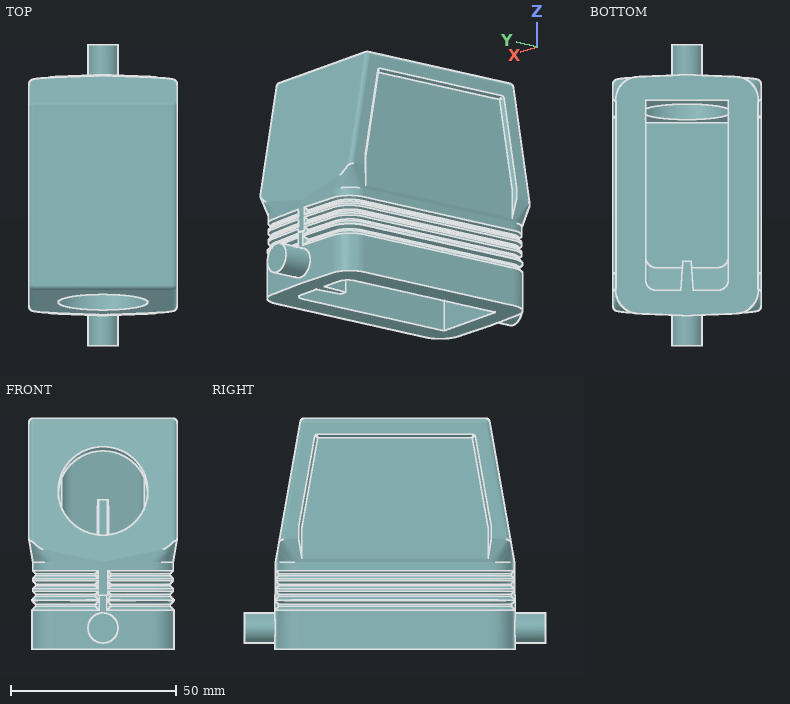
import cadquery as cq
import math

base_width = 43.1
base_length = 72.95
base_corner = 7.0
end_bow = 0.8
base_top = 16.4

collar_step = 0.3
collar_top = 26.4

overall_height = 70.0
shell_width = 45.0
shell_edge_radius = 1.5
flare_height = 7.1
end_draft = 10.0

flank_angle = 45.0

groove_count = 4
groove_pitch = 3.1
first_groove_height = 13.3
groove_floor = 0.55
groove_depth = 1.2
groove_overcut = 0.1
rib_width = 2.2

peg_diameter = 9.1
peg_height = 6.5
peg_span = 91.2

panel_depth = 1.0
panel_floor_bottom = 26.8
panel_floor_top = 64.1
panel_knee_height = 36.9
panel_half_length = 28.2

entry_diameter = 27.2
entry_height = 48.0
entry_depth = 8.7
end_wall = 7.3
cavity_width = 25.1
cavity_corner = 3.2
cavity_top = 65.5
key_face_width = 2.55
key_root_width = 3.3
key_projection = 5.5
key_top = 45.3

draft_slope = math.tan(math.radians(end_draft))
collar_width = base_width - 2 * collar_step
collar_length = base_length - 2 * collar_step
collar_corner = base_corner - collar_step
flare_top = collar_top + flare_height


def end_half_length(height):
    """Distance from the middle plane to the drafted end face at a given height."""
    return collar_length / 2 - (height - collar_top) * draft_slope


def waist_outline(width, length, radius):
    """Rounded rectangle whose ends are two flats meeting in a shallow ridge on the middle plane."""
    peak = length / 2
    shoulder = peak - end_bow
    points = [
        (0, peak),
        (width / 2, shoulder),
        (width / 2, -shoulder),
        (0, -peak),
        (-width / 2, -shoulder),
        (-width / 2, shoulder),
        (0, peak),
    ]
    return cq.Sketch().polygon(points).vertices("not(<Y or >Y)").fillet(radius).reset()


def waist_block(width, length, radius, bottom, height, taper=0):
    outline = waist_outline(width, length, radius)
    return cq.Workplane("XY").workplane(offset=bottom).placeSketch(outline).extrude(height, taper=taper)


def upper_shell():
    low_end = end_half_length(collar_top)
    high_end = end_half_length(overall_height)
    profile = [
        (-low_end, collar_top),
        (low_end, collar_top),
        (high_end, overall_height),
        (-high_end, overall_height),
    ]
    shell = cq.Workplane("YZ").polyline(profile).close().extrude(shell_width / 2, both=True)
    shell = shell.edges("not(#Z)").fillet(shell_edge_radius)
    shell = shell.faces(">Z").edges().fillet(shell_edge_radius)

    low = waist_outline(collar_width, collar_length, collar_corner)
    high = waist_outline(shell_width, collar_length, shell_edge_radius)
    high = high.moved(cq.Location(cq.Vector(0, 0, flare_height)))
    foot = cq.Workplane("XY").workplane(offset=collar_top).placeSketch(low, high).loft(ruled=True)
    above = cq.Workplane("XY").workplane(offset=flare_top)
    above = above.rect(shell_width, base_length).extrude(overall_height - flare_top)
    return shell.intersect(foot.union(above))


def side_panel():
    """Cutter for the +X panel: flat floor with walls opening outwards at 45 degrees."""
    top_half_length = panel_half_length - (panel_floor_top - panel_knee_height) * draft_slope
    outline = [
        (-panel_half_length, panel_floor_bottom),
        (panel_half_length, panel_floor_bottom),
        (panel_half_length, panel_knee_height),
        (top_half_length, panel_floor_top),
        (-top_half_length, panel_floor_top),
        (-panel_half_length, panel_knee_height),
    ]
    floor = cq.Workplane("YZ", origin=(shell_width / 2 - panel_depth, 0, 0))
    return floor.polyline(outline).close().extrude(panel_depth, taper=-flank_angle)


def grip_groove(height):
    """Ring cutter with a flat floor and 45 degree flanks, interrupted by a rib at each end."""
    flank = groove_depth + groove_overcut
    half_opening = groove_floor / 2 + flank
    core_size = (base_width - 2 * groove_depth, base_length - 2 * groove_depth, base_corner - groove_depth)
    top_flank = waist_block(*core_size, groove_floor / 2, flank, taper=-flank_angle)
    floor = waist_block(*core_size, -groove_floor / 2, groove_floor)
    ring = cq.Workplane("XY").rect(base_width + 2 * groove_overcut, base_length + 2 * groove_overcut)
    ring = ring.extrude(half_opening, both=True)
    ring = ring.cut(top_flank).cut(top_flank.mirror("XY")).cut(floor)

    outer = base_length / 2 + groove_overcut
    inner = base_length / 2 - groove_depth
    outer_half = rib_width / 2 - groove_overcut
    inner_half = rib_width / 2 + groove_depth
    rib = cq.Workplane("XY").workplane(offset=-half_opening)
    rib = rib.polyline([(-outer_half, outer), (outer_half, outer), (inner_half, inner), (-inner_half, inner)])
    rib = rib.close().extrude(2 * half_opening)
    return ring.cut(rib).cut(rib.mirror("XZ")).translate((0, 0, height))


def cavity():
    inset = end_wall / math.cos(math.radians(end_draft))
    mouth_end = end_half_length(collar_top) - inset
    roof_end = end_half_length(cavity_top) - inset
    profile = [
        (-mouth_end, 0),
        (mouth_end, 0),
        (mouth_end, collar_top),
        (roof_end, cavity_top),
        (-roof_end, cavity_top),
        (-mouth_end, collar_top),
    ]
    room = cq.Workplane("YZ").polyline(profile).close().extrude(cavity_width / 2, both=True)
    room = room.edges("not(#Z)").filter(lambda edge: edge.Center().y > 0).fillet(cavity_corner)

    root = end_half_length(key_top) - inset
    face = root - key_projection
    flank = (key_root_width - key_face_width) / 2 / key_projection
    back_half_width = key_face_width / 2 + (mouth_end - face) * flank
    key = cq.Workplane("XY").polyline(
        [
            (-key_face_width / 2, face),
            (key_face_width / 2, face),
            (back_half_width, mouth_end),
            (-back_half_width, mouth_end),
        ]
    )
    key = key.close().extrude(key_top)
    return room.cut(key)


def cable_entry():
    """Blind bore square to the drafted -Y end face."""
    axis = cq.Vector(0, math.cos(math.radians(end_draft)), -math.sin(math.radians(end_draft)))
    start = cq.Vector(0, -end_half_length(entry_height), entry_height)
    return cq.Workplane(cq.Solid.makeCylinder(entry_diameter / 2, entry_depth, start, axis))


body = waist_block(base_width, base_length, base_corner, 0, base_top)
collar = waist_block(collar_width, collar_length, collar_corner, base_top, collar_top - base_top)
body = body.union(collar)
for index in range(groove_count):
    body = body.cut(grip_groove(first_groove_height + index * groove_pitch))
body = body.union(upper_shell())
panel = side_panel()
body = body.cut(panel).cut(panel.mirror("YZ"))

pegs = cq.Workplane("XZ").center(0, peg_height).circle(peg_diameter / 2).extrude(peg_span / 2, both=True)
result = body.union(pegs).cut(cavity()).cut(cable_entry())